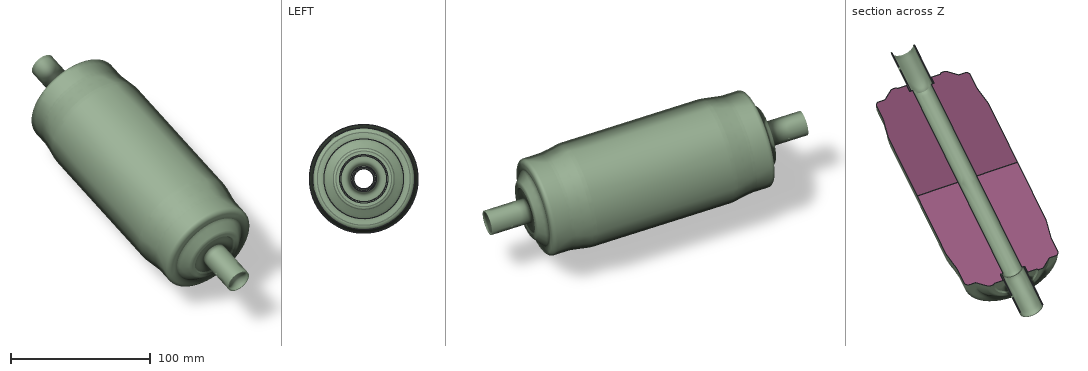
import cadquery as cq

total_length = 244.5
body_radius = 78.0 / 2
band_radius = 36.5

taper_start = 54.5
taper_end = 70.1
shoulder_face = 86.0
end_face = 92.6

cap_base_radius = 28.5
cap_top_radius = 21.0

dish_rim_radius = 17.4
dish_floor_radius = 16.4
dish_depth = 1.0

taper_start_bend = 18.0
taper_end_bend = 13.7
shoulder_rounding = 3.2
cap_rounding = 3.0

tube_radius = 18.3 / 2
tube_bore_radius = 8.3
passage_radius = 7.0
tube_end = total_length / 2
tube_seat = shoulder_face
vent_position = 107.0
vent_diameter = 1.5

AXIS_START = (0, 0, 0)
AXIS_END = (1, 0, 0)
TOLERANCE = 0.02


def ring_edges(body, x, radius):
    """Circular edges of the body with the given radius, centred at the given X."""
    return [
        edge
        for edge in body.edges("%CIRCLE").vals()
        if abs(edge.radius() - radius) < TOLERANCE and abs(edge.Center().x - x) < TOLERANCE
    ]


def make_half_body():
    """Half of the body on the +X side, with its dish, tube seat and passage."""
    half = (
        cq.Workplane("XY")
        .moveTo(0, passage_radius)
        .lineTo(0, body_radius)
        .lineTo(taper_start, body_radius)
        .lineTo(taper_end, band_radius)
        .lineTo(shoulder_face, band_radius)
        .lineTo(shoulder_face, cap_base_radius)
        .lineTo(end_face, cap_top_radius)
        .lineTo(end_face, dish_rim_radius)
        .lineTo(end_face - dish_depth, dish_floor_radius)
        .lineTo(end_face - dish_depth, tube_radius)
        .lineTo(tube_seat, tube_radius)
        .lineTo(tube_seat, passage_radius)
        .close()
        .revolve(360, AXIS_START, AXIS_END)
    )
    roundings = [
        (taper_start, body_radius, taper_start_bend),
        (taper_end, band_radius, taper_end_bend),
        (shoulder_face, band_radius, shoulder_rounding),
        (end_face, cap_top_radius, cap_rounding),
    ]
    for x, edge_radius, rounding in roundings:
        half = half.newObject(ring_edges(half, x, edge_radius)).fillet(rounding)
    return half


def make_tube():
    """Thin tube on the +X side with a small vent through its -Y wall."""
    tube = (
        cq.Workplane("YZ", origin=(tube_seat, 0, 0))
        .circle(tube_radius)
        .circle(tube_bore_radius)
        .extrude(tube_end - tube_seat)
    )
    vent = (
        cq.Workplane("XZ")
        .center(vent_position, 0)
        .circle(vent_diameter / 2)
        .extrude(body_radius)
    )
    return tube.cut(vent)


bodies = []
for make_body in (make_half_body, make_tube):
    body = make_body()
    bodies.append(body.val())
    bodies.append(body.mirror("YZ").val())

result = cq.Compound.makeCompound(bodies)